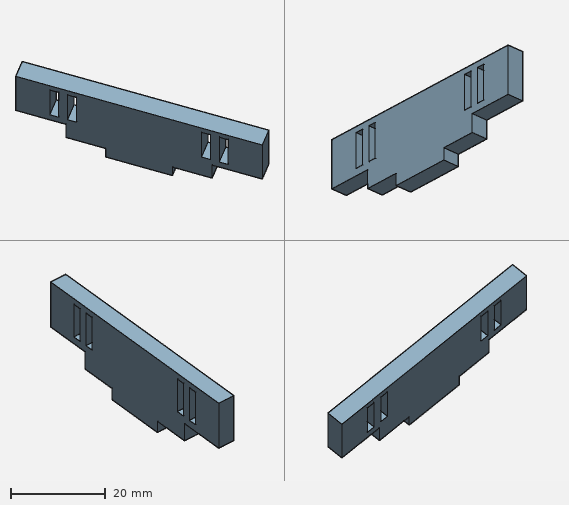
import cadquery as cq

length = 55.3
thickness = 4.2
height = 19.6

wing_height = 12.0
middle_width = 32.8
tongue_width = 15.0
tongue_drop = 3.0

slot_width = 2.0
slot_height = 8.7
slot_top_margin = 1.5
slot_pitch = 4.0
pair_spacing = 34.0

top = height / 2


def block(width, block_height, center_x=0, top_z=top):
    """Full-thickness block hanging down from top_z."""
    return cq.Workplane("XY").box(width, thickness, block_height).translate(
        (center_x, 0, top_z - block_height / 2)
    )


wings = block(length, wing_height)
middle = block(middle_width, height - tongue_drop)
tongue = block(tongue_width, height)
result = wings.union(middle).union(tongue)

for side in (-1, 1):
    for offset in (-slot_pitch / 2, slot_pitch / 2):
        slot_x = side * pair_spacing / 2 + offset
        result = result.cut(block(slot_width, slot_height, slot_x, top - slot_top_margin))